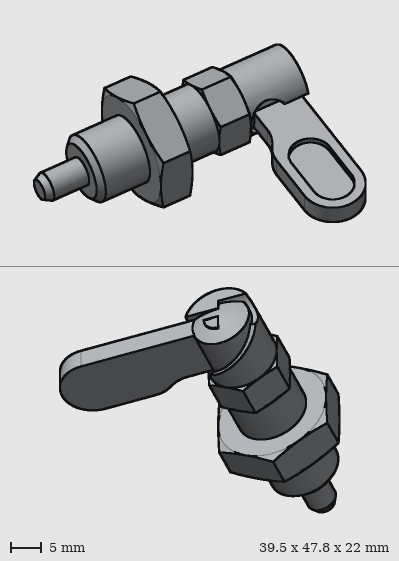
import cadquery as cq
import math

total_length = 47.8

pin_radius = 5.0 / 2
pin_tip_radius = 1.8
pin_chamfer_length = 1.35
body_radius = 12.0 / 2
body_start = 8.0
body_chamfer = 1.1

hex_length = 6.0
nut_width = 19.02
nut_start = 17.5
nut_corner_drop = 0.5
collar_width = 2 * body_radius
collar_start = 30.7
collar_corner_drop = 0.25

core_radius = 10.0 / 2
dome_height = 1.2

lever_thickness = 3.6
lever_end_radius = 5.4
lever_center_x = 29.95 - lever_end_radius
lever_center_y = 41.25
neck_bottom = 37.95
paddle_start_x = 15.7
blend_line = 0.35
pocket_radius = 3.6
pocket_left_center_x = 17.45
pocket_depth = 1.0

seat_radius = 3.55
low_seat_y = 40.2
high_seat_y = 48.65
cam_start_y = 36.85
cam_lead = 19.1
cutter_radius = body_radius + 0.95


def make_plunger():
    """Pin, body and sleeve as one turned shape."""
    profile = [
        (0, 0),
        (pin_tip_radius, 0),
        (pin_radius, pin_chamfer_length),
        (pin_radius, body_start),
        (body_radius - body_chamfer, body_start),
        (body_radius, body_start + body_chamfer),
        (body_radius, total_length),
        (0, total_length),
    ]
    return cq.Workplane("XY").polyline(profile).close().revolve(360, (0, 0), (0, 1))


def make_core():
    """Domed cylinder that remains where the sleeve is cut away."""
    dome_base = total_length - dome_height
    dome_radius = (core_radius**2 + dome_height**2) / (2 * dome_height)
    arc_mid_x = core_radius / 2
    arc_mid_y = total_length - dome_radius + math.sqrt(dome_radius**2 - arc_mid_x**2)
    return (
        cq.Workplane("XY")
        .moveTo(0, collar_start)
        .lineTo(core_radius, collar_start)
        .lineTo(core_radius, dome_base)
        .threePointArc((arc_mid_x, arc_mid_y), (0, total_length))
        .close()
        .revolve(360, (0, 0), (0, 1))
    )


def make_hexagon(width, start, corner_drop):
    """Hexagonal prism whose corners are turned down to its flats at both ends."""
    corner_radius = width / math.sqrt(3)
    end = start + hex_length
    prism = (
        cq.Workplane("XZ", origin=(0, start, 0))
        .polygon(6, 2 * corner_radius)
        .extrude(-hex_length)
        .rotate((0, 0, 0), (0, 1, 0), 30)
    )
    envelope_profile = [
        (0, start),
        (width / 2, start),
        (corner_radius, start + corner_drop),
        (corner_radius, end - corner_drop),
        (width / 2, end),
        (0, end),
    ]
    envelope = cq.Workplane("XY").polyline(envelope_profile).close().revolve(360, (0, 0), (0, 1))
    return prism.intersect(envelope)


def make_helical_cutter():
    """Half-turn helical band running from +X under the axis to -X, reaching past the sleeve end."""
    inner_radius = core_radius / 2
    band_height = 0.75 * cam_lead
    path = cq.Wire.makeHelix(cam_lead, cam_lead / 2, core_radius)
    band = (
        cq.Workplane("XZ")
        .moveTo(inner_radius, 0)
        .lineTo(cutter_radius, 0)
        .lineTo(cutter_radius, band_height)
        .lineTo(inner_radius, band_height)
        .close()
        .sweep(cq.Workplane(path), isFrenet=True)
    )
    return band.rotate((0, 0, 0), (1, 0, 0), -90).translate((0, cam_start_y, 0))


def make_seat_cutter(center_y, direction):
    """Round cutter running from the axis out along +X (1) or -X (-1)."""
    return (
        cq.Workplane("YZ")
        .center(center_y, 0)
        .circle(seat_radius)
        .extrude(direction * cutter_radius)
    )


def make_exit_slot():
    """Upper half of the opening through which the lever leaves the sleeve on +X."""
    slot_length = total_length - low_seat_y
    slot = cq.Workplane("XY").box(cutter_radius, slot_length, lever_thickness / 2, centered=False)
    return slot.translate((0, low_seat_y, 0))


def make_lever():
    """Flat lever with an S-curved neck, a round end and a thumb pocket on its upper face."""
    top = lever_center_y + lever_end_radius
    bottom = lever_center_y - lever_end_radius
    step = neck_bottom - bottom
    diameter = 2 * lever_end_radius
    blend_angle = math.acos((diameter - step) / math.hypot(diameter, blend_line)) - math.atan(
        blend_line / diameter
    )
    arc_run = lever_end_radius * math.sin(blend_angle)
    arc_rise = lever_end_radius * (1 - math.cos(blend_angle))
    line_start = (paddle_start_x - arc_run, bottom + arc_rise)
    line_end = (line_start[0] - blend_line * math.cos(blend_angle), neck_bottom - arc_rise)
    neck_end = (line_end[0] - arc_run, neck_bottom)
    plate = (
        cq.Workplane("XY", origin=(0, 0, -lever_thickness / 2))
        .moveTo(0, top)
        .lineTo(lever_center_x, top)
        .threePointArc((lever_center_x + lever_end_radius, lever_center_y), (lever_center_x, bottom))
        .lineTo(paddle_start_x, bottom)
        .tangentArcPoint(line_start, relative=False)
        .lineTo(*line_end)
        .tangentArcPoint(neck_end, relative=False)
        .lineTo(0, neck_bottom)
        .close()
        .extrude(lever_thickness)
    )
    pocket_span = lever_center_x - pocket_left_center_x
    pocket = (
        cq.Workplane("XY", origin=(0, 0, lever_thickness / 2 - pocket_depth))
        .center(pocket_left_center_x + pocket_span / 2, lever_center_y)
        .slot2D(pocket_span + 2 * pocket_radius, 2 * pocket_radius)
        .extrude(pocket_depth)
    )
    return plate.cut(pocket)


core = make_core()
lever = make_lever().cut(core)
result = (
    make_plunger()
    .cut(make_helical_cutter())
    .cut(make_seat_cutter(low_seat_y, 1))
    .cut(make_seat_cutter(high_seat_y, -1))
    .cut(make_exit_slot())
    .union(core)
    .union(make_hexagon(nut_width, nut_start, nut_corner_drop))
    .union(make_hexagon(collar_width, collar_start, collar_corner_drop))
    .union(lever)
)